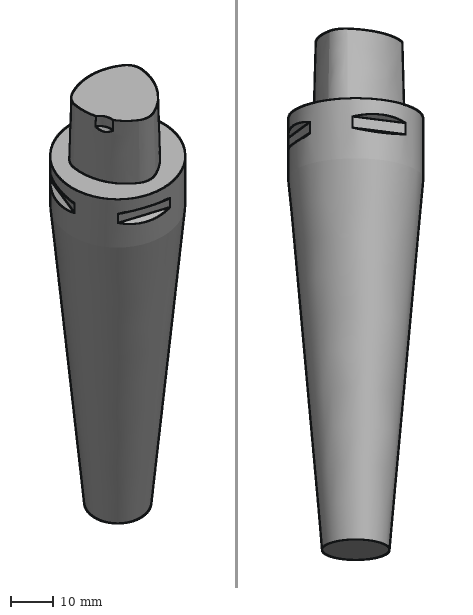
import cadquery as cq
import math

total_height = 126
collar_diameter = 32.0
collar_height = 15.0
shank_height = 19.0
tip_diameter = collar_diameter / 2
shank_base_z = total_height - shank_height
collar_base_z = shank_base_z - collar_height

lobe_angles = (90, 210, 330)
half_pitch_angle = 60
lobe_radius = 5.2
lobe_center_distance = 6.4
flank_radius = 15.9
shank_taper_angle = math.degrees(math.atan(1 / 40))

notch_diameter = 8.0
notch_depth = 3.2
notch_radial_reach = 8.7
notch_cone_height = notch_diameter / 2

groove_count = 4
groove_z = 101.0
groove_floor_distance = 14.5
groove_floor_width = 2.8
groove_flank_angle = 30
first_groove_angle = 45
cut_clearance = 1.3


def polar_point(center, radius, angle):
    """Point at an angle in degrees on a circle around the center."""
    turn = math.radians(angle)
    return center[0] + radius * math.cos(turn), center[1] + radius * math.sin(turn)


def make_body():
    """Tapered lower body with the cylindrical collar on top."""
    collar_radius = collar_diameter / 2
    profile = [
        (0, 0),
        (tip_diameter / 2, 0),
        (collar_radius, collar_base_z),
        (collar_radius, shank_base_z),
        (0, shank_base_z),
    ]
    return cq.Workplane("XZ").polyline(profile).close().revolve(360, (0, 0), (0, 1))


def make_shank():
    """Tapered shank with one lobe at each lobe angle and flanks between them."""
    center_gap = flank_radius - lobe_radius
    lobe_offset_across = lobe_center_distance * math.sin(math.radians(half_pitch_angle))
    flank_half_angle = math.degrees(math.asin(lobe_offset_across / center_gap))
    flank_center_distance = (
        math.sqrt(center_gap**2 - lobe_offset_across**2)
        - lobe_center_distance * math.cos(math.radians(half_pitch_angle))
    )
    lobe_half_angle = half_pitch_angle - flank_half_angle

    first_lobe_angle = lobe_angles[0]
    first_lobe_center = polar_point((0, 0), lobe_center_distance, first_lobe_angle)
    start = polar_point(first_lobe_center, lobe_radius, first_lobe_angle - lobe_half_angle)
    outline = cq.Workplane("XY").workplane(offset=shank_base_z).moveTo(*start)
    for lobe_angle in lobe_angles:
        lobe_center = polar_point((0, 0), lobe_center_distance, lobe_angle)
        lobe_middle = polar_point(lobe_center, lobe_radius, lobe_angle)
        lobe_end = polar_point(lobe_center, lobe_radius, lobe_angle + lobe_half_angle)
        outline = outline.threePointArc(lobe_middle, lobe_end)

        flank_angle = lobe_angle + half_pitch_angle
        flank_center = polar_point((0, 0), -flank_center_distance, flank_angle)
        flank_middle = polar_point(flank_center, flank_radius, flank_angle)
        flank_end = polar_point(flank_center, flank_radius, flank_angle + flank_half_angle)
        outline = outline.threePointArc(flank_middle, flank_end)
    return outline.close().extrude(shank_height, taper=shank_taper_angle)


def make_notch_cutter():
    """Vertical cylinder with a conical lower end, beside the -Y flank."""
    radius = notch_diameter / 2
    floor_z = total_height - notch_depth
    profile = [
        (0, total_height),
        (radius, total_height),
        (radius, floor_z),
        (0, floor_z - notch_cone_height),
    ]
    cutter = cq.Workplane("XZ").polyline(profile).close().revolve(360, (0, 0), (0, 1))
    return cutter.translate((0, -notch_radial_reach - radius, 0))


def make_groove_cutter(angle):
    """Straight groove with a flat floor and flared flanks."""
    outer_distance = collar_diameter / 2 + cut_clearance
    flare = (outer_distance - groove_floor_distance) * math.tan(math.radians(groove_flank_angle))
    floor_half = groove_floor_width / 2
    profile = [
        (groove_floor_distance, groove_z - floor_half),
        (outer_distance, groove_z - floor_half - flare),
        (outer_distance, groove_z + floor_half + flare),
        (groove_floor_distance, groove_z + floor_half),
    ]
    cutter = cq.Workplane("XZ").polyline(profile).close().extrude(collar_diameter / 2, both=True)
    return cutter.rotate((0, 0, 0), (0, 0, 1), angle)


result = make_body().union(make_shank()).cut(make_notch_cutter())
for index in range(groove_count):
    groove_angle = first_groove_angle + index * 360 / groove_count
    result = result.cut(make_groove_cutter(groove_angle))